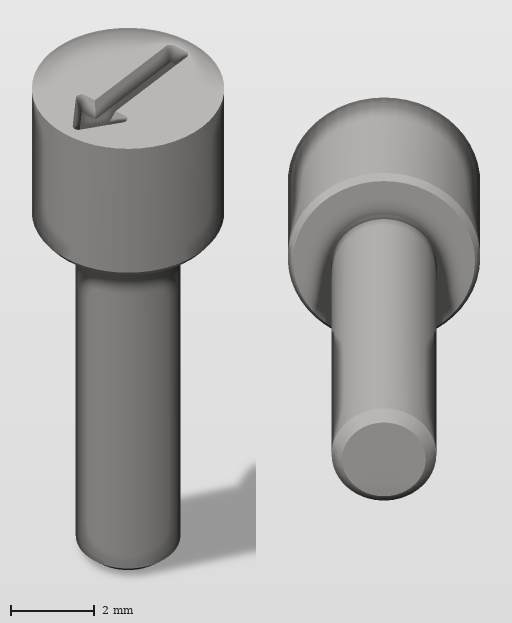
import cadquery as cq
import math

total_length = 14.0
head_diameter = 4.6
shank_diameter = 2.5
head_height = 3.99
head_chamfer_width = 0.13
head_chamfer_height = 0.18

relief_height = 0.2
relief_depth = 0.05
relief_lip = 0.04

tip_chamfer = 0.25

pocket_depth = 0.42
wall_flare = 0.14
arrow_shaft_width = 0.36
arrow_tail_y = 1.82
arrow_shoulder_y = -1.0
arrow_head_width = 1.23
arrow_tip_y = -1.86


def make_body():
    shank_length = total_length - head_height
    shank_radius = shank_diameter / 2
    head_radius = head_diameter / 2
    relief_start = (shank_radius, shank_length - relief_height)
    relief_middle = (shank_radius - relief_depth, shank_length - relief_height / 2)
    relief_end = (shank_radius + relief_lip, shank_length)
    return (
        cq.Workplane("XZ")
        .lineTo(shank_radius - tip_chamfer, 0)
        .lineTo(shank_radius, tip_chamfer)
        .lineTo(*relief_start)
        .threePointArc(relief_middle, relief_end)
        .lineTo(head_radius - head_chamfer_width, shank_length)
        .lineTo(head_radius, shank_length + head_chamfer_height)
        .lineTo(head_radius, total_length)
        .lineTo(0, total_length)
        .close()
        .revolve(360, (0, 0, 0), (0, 1, 0))
    )


def make_arrow_pocket():
    shaft_half = arrow_shaft_width / 2
    head_half = arrow_head_width / 2
    outline = [
        (shaft_half, arrow_tail_y),
        (shaft_half, arrow_shoulder_y),
        (head_half, arrow_shoulder_y),
        (0, arrow_tip_y),
        (-head_half, arrow_shoulder_y),
        (-shaft_half, arrow_shoulder_y),
        (-shaft_half, arrow_tail_y),
    ]
    flare_angle = math.degrees(math.atan(wall_flare / pocket_depth))
    return (
        cq.Workplane("XY", origin=(0, 0, total_length - pocket_depth))
        .polyline(outline)
        .close()
        .extrude(pocket_depth, taper=-flare_angle)
    )


result = make_body().cut(make_arrow_pocket())